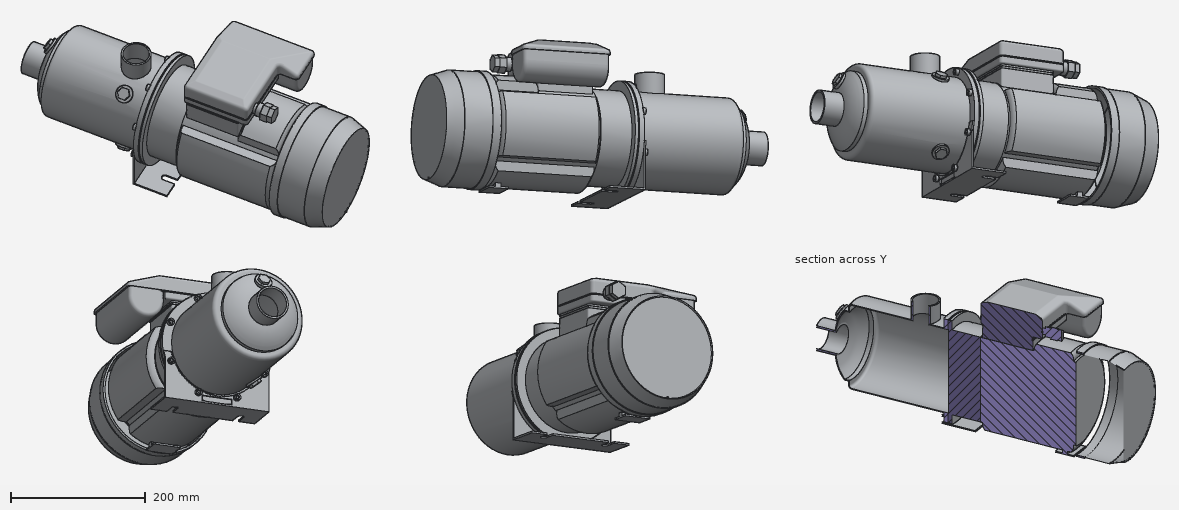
import cadquery as cq
import math

DOME_START = 31.5
DOME_END = 47.5
SHELL_START = 54.5
FLANGE_START = 217.0
FLANGE_SEAM = 225.0
FLANGE_END = 232.0
LANTERN_END = 280.5
PAD_START = 283.0
TOP_PAD_START = 371.0
PAD_END = 439.0
COVER_START = 443.5
COVER_RING_END = 456.5
COVER_TAPER_START = 500.0
COVER_END = 526.0
TOTAL_LENGTH = 527.0

CASING_WALL = 2.0
PIPE_DIAMETER = 50.5
PIPE_BORE = 45.0
DOME_RADIUS = 60.0
DOME_BULGE_X = 38.0
DOME_BULGE_RADIUS = 46.5
SHELL_RADIUS = 72.0
SHELL_ROUNDING = 6.5
FLANGE_RADIUS = 87.0
OUTLET_X = 178.0
OUTLET_DIAMETER = 44.5
OUTLET_BORE = 39.0
OUTLET_TOP = 100.5

PLUG_X = 181.5
PLUG_ANGLE = 52.0
PLUG_COLLAR_DIAMETER = 26.5
PLUG_COLLAR_HEIGHT = 2.5
PLUG_HEAD_DIAMETER = 19.5
PLUG_HEAD_HEIGHT = 7.0
PLUG_ROOT = 8.0
DOME_PLUG_X = 37.0
DOME_PLUG_Z = 45.0
DOME_PLUG_TILT = 28.0

BOLT_COUNT = 8
BOLT_CIRCLE_RADIUS = 80.5
BOLT_HEAD_DIAMETER = 10.0
BOLT_HEAD_HEIGHT = 5.5
BOLT_SHANK_DIAMETER = 7.0
SOCKET_SIZE = 6.0
SOCKET_DEPTH = 3.0

PLATE_THICKNESS = 2.5
FOOT_BOTTOM = -89.0
BRACKET_HALF_WIDTH = 83.5
BRACKET_TOP = -15.5
BRACKET_HOLE_RADIUS = 75.5
BRACKET_END = 271.0
NOTCH_WIDTH = 47.5
NOTCH_TOP = -77.5
SLOT_WIDTH = 10.0
SLOT_LENGTH = 23.5
SLOT_Y = 52.5

LANTERN_RADIUS = 72.0
SEAM_GAP = 1.5
SEAM_RADIUS = 86.0
CORE_RADIUS = 72.0
PAD_RADIUS = 84.0
PAD_HALF_WIDTH = 48.5
PAD_TAPER = 5.0
PAD_BULGE_X = 1.0
PAD_BULGE_RADIUS = 79.0
NECK_RADIUS = 71.0
REAR_FOOT_START = 408.0
REAR_FOOT_HALF_WIDTH = 21.0
REAR_STEM_START = 419.5
REAR_STEM_LENGTH = 9.0

COVER_RING_RADIUS = 88.5
COVER_RADIUS = 87.0
COVER_END_RADIUS = 78.0
COVER_WALL = 1.5
NIB_DIAMETER = 3.0

BOX_START = 280.0
BOX_END = 386.0
BOX_WING_END = 418.0
BOX_FRONT = -47.5
BOX_BACK = 115.5
WING_FRONT = 56.5
BOX_BOTTOM = 92.0
BOX_SEAM = 104.0
BOX_SEAM_GAP = 1.5
BOX_TOP = 132.0
ROOF_START = 293.0
ROOF_END = 373.0
ROOF_FRONT = -32.5
ROOF_BACK = 56.0
ROOF_LOW = 112.5
ROOF_RIM = 127.5
BOX_ROUNDING = 6.0
BOX_BOTTOM_ROUNDING = 2.5
TOWER_END = 369.5
TOWER_HALF_WIDTH = 44.5
TOWER_ROUNDING = 2.5
TOWER_GROOVE_DEPTH = 1.0
TOWER_GROOVE_BOTTOM = 86.5
TOWER_GROOVE_TOP = 89.5
LOBE_Y = 85.0
LOBE_Z = 89.0
LOBE_RADIUS = 28.0
LOBE_END = 416.5
LOBE_ROUNDING = 6.0

GLAND_Y = -20.5
GLAND_Z = 106.5
GLAND_ROOT_DIAMETER = 17.0
GLAND_ROOT_END = 390.5
GLAND_NECK_DIAMETER = 21.0
GLAND_NUT_START = 399.5
GLAND_NUT_DIAMETER = 28.0
GLAND_NUT_STEP = 11.0
GLAND_CAP_DIAMETER = 26.0
GLAND_END = 418.5


def rod(x_start, x_end, radius):
    """Cylinder along the pump axis."""
    return cq.Workplane("YZ").workplane(offset=x_start).circle(radius).extrude(x_end - x_start)


def block(x_range, y_range, z_range):
    """Box between pairs of limits."""
    size = [high - low for low, high in (x_range, y_range, z_range)]
    return cq.Workplane("XY").box(*size, centered=False).translate((x_range[0], y_range[0], z_range[0]))


def make_plug(base, outward, across):
    """Hexagon screw plug on a round collar, pointing outward; across sets a hexagon corner."""
    seat = cq.Plane(origin=base, xDir=across, normal=outward)
    length = PLUG_ROOT + PLUG_COLLAR_HEIGHT
    collar = cq.Workplane(seat).workplane(offset=-PLUG_ROOT).circle(PLUG_COLLAR_DIAMETER / 2).extrude(length)
    head = cq.Workplane(seat).polygon(6, PLUG_HEAD_DIAMETER).extrude(PLUG_HEAD_HEIGHT)
    return collar.union(head)


def bolt_centers():
    """Bolt positions (y, z), evenly spaced and half a step away from the Y axis."""
    angles = [2 * math.pi * (i + 0.5) / BOLT_COUNT for i in range(BOLT_COUNT)]
    return [(BOLT_CIRCLE_RADIUS * math.cos(a), BOLT_CIRCLE_RADIUS * math.sin(a)) for a in angles]


def make_bolt(y, z):
    """Socket-head bolt on the flange; the lower bolts clamp the bracket plate."""
    seat_x = FLANGE_START - (PLATE_THICKNESS if z < BRACKET_TOP else 0)
    head_x = seat_x - BOLT_HEAD_HEIGHT
    head = rod(head_x, seat_x, BOLT_HEAD_DIAMETER / 2)
    socket = cq.Workplane("YZ").workplane(offset=head_x).polygon(6, SOCKET_SIZE).extrude(SOCKET_DEPTH)
    shank = rod(seat_x, FLANGE_SEAM, BOLT_SHANK_DIAMETER / 2)
    return head.cut(socket).union(shank).translate((0, y, z))


def make_vessel(inset):
    """Domed barrel, shrunk by inset; the shrunk one is the inside of the casing."""
    dome_radius = DOME_RADIUS - inset
    shell_radius = SHELL_RADIUS - inset
    shell_start = SHELL_START + inset
    bulge = (DOME_BULGE_X + inset, DOME_BULGE_RADIUS - inset / 2)
    dome = (
        cq.Workplane("XZ")
        .moveTo(DOME_START + inset, 0)
        .lineTo(DOME_START + inset, PIPE_DIAMETER / 2)
        .threePointArc(bulge, (DOME_END + inset / 2, dome_radius))
        .lineTo(shell_start, dome_radius)
        .lineTo(shell_start, 0)
        .close()
        .revolve(360, (0, 0, 0), (1, 0, 0))
    )
    shell = rod(shell_start, FLANGE_SEAM, shell_radius).faces("<X").edges().fillet(SHELL_ROUNDING - inset)
    return dome.union(shell)


def make_casing():
    """Thin-walled barrel with pipe stubs, a flange, plugs and the flange bolts."""
    flange = rod(FLANGE_START, FLANGE_SEAM, FLANGE_RADIUS)
    suction = rod(0, DOME_START + CASING_WALL, PIPE_DIAMETER / 2)
    outlet = cq.Workplane("XY").center(OUTLET_X, 0).circle(OUTLET_DIAMETER / 2).extrude(OUTLET_TOP)
    body = make_vessel(0).union(flange).union(suction).union(outlet)

    angle = math.radians(PLUG_ANGLE)
    for side in (1, -1):
        outward = (0, -math.cos(angle), side * math.sin(angle))
        base = (PLUG_X, SHELL_RADIUS * outward[1], SHELL_RADIUS * outward[2])
        body = body.union(make_plug(base, outward, (1, 0, 0)))
    tilt = math.radians(DOME_PLUG_TILT)
    dome_base = (DOME_PLUG_X, 0, DOME_PLUG_Z)
    dome_outward = (-math.cos(tilt), 0, math.sin(tilt))
    body = body.union(make_plug(dome_base, dome_outward, (0, 1, 0)))

    outlet_bore = cq.Workplane("XY").center(OUTLET_X, 0).circle(OUTLET_BORE / 2).extrude(OUTLET_TOP)
    suction_bore = rod(0, DOME_START + CASING_WALL, PIPE_BORE / 2)
    body = body.cut(make_vessel(CASING_WALL)).cut(outlet_bore).cut(suction_bore)

    for y, z in bolt_centers():
        body = body.union(make_bolt(y, z))
    return body


def make_bracket():
    """Bent plate: an upright behind the lower bolts and a slotted sole under the flanges."""
    front = FLANGE_START - PLATE_THICKNESS
    width = (-BRACKET_HALF_WIDTH, BRACKET_HALF_WIDTH)
    below_top = block((front, FLANGE_START), (-FLANGE_RADIUS, FLANGE_RADIUS), (FOOT_BOTTOM, BRACKET_TOP))
    upright = rod(front, FLANGE_START, FLANGE_RADIUS).intersect(below_top)
    upright = upright.union(block((front, FLANGE_START), width, (FOOT_BOTTOM, BRACKET_TOP)))
    upright = upright.cut(rod(front, FLANGE_START, BRACKET_HOLE_RADIUS))
    sole = block((front, BRACKET_END), width, (FOOT_BOTTOM, FOOT_BOTTOM + PLATE_THICKNESS))
    slots = (
        cq.Workplane("XY")
        .workplane(offset=FOOT_BOTTOM)
        .pushPoints([(BRACKET_END, -SLOT_Y), (BRACKET_END, SLOT_Y)])
        .slot2D(2 * SLOT_LENGTH, SLOT_WIDTH)
        .extrude(PLATE_THICKNESS)
    )
    notch = block((front, FLANGE_START), (-NOTCH_WIDTH / 2, NOTCH_WIDTH / 2), (FOOT_BOTTOM, NOTCH_TOP))
    bracket = upright.cut(notch).union(sole).cut(slots)
    bracket = bracket.cut(rod(FLANGE_START, FLANGE_END, FLANGE_RADIUS))
    hole = rod(front, FLANGE_START, BOLT_SHANK_DIAMETER / 2)
    for y, z in bolt_centers():
        bracket = bracket.cut(hole.translate((0, y, z)))
    return bracket


def make_lantern():
    """Adapter between pump and motor; its flange leaves a thin seam at the rim."""
    seam = rod(FLANGE_SEAM, FLANGE_SEAM + SEAM_GAP, SEAM_RADIUS)
    flange = rod(FLANGE_SEAM + SEAM_GAP, FLANGE_END, FLANGE_RADIUS)
    return seam.union(flange).union(rod(FLANGE_END, LANTERN_END, LANTERN_RADIUS))


def make_pad(x_start, turn):
    """Curved pad with rounded ends and parallel sides, turned about the axis from the top."""
    drum = (
        cq.Workplane("XZ")
        .moveTo(x_start, 0)
        .lineTo(x_start, CORE_RADIUS)
        .threePointArc((x_start + PAD_BULGE_X, PAD_BULGE_RADIUS), (x_start + PAD_TAPER, PAD_RADIUS))
        .lineTo(PAD_END - PAD_TAPER, PAD_RADIUS)
        .threePointArc((PAD_END - PAD_BULGE_X, PAD_BULGE_RADIUS), (PAD_END, CORE_RADIUS))
        .lineTo(PAD_END, 0)
        .close()
        .revolve(360, (0, 0, 0), (1, 0, 0))
    )
    strip = block((x_start, PAD_END), (-PAD_HALF_WIDTH, PAD_HALF_WIDTH), (0, PAD_RADIUS))
    return drum.intersect(strip).rotate((0, 0, 0), (1, 0, 0), turn)


def make_motor():
    """Round core with four wide pads, a neck toward the fan cover and a small rear foot."""
    motor = rod(LANTERN_END, PAD_END, CORE_RADIUS)
    motor = motor.union(make_pad(TOP_PAD_START, 0))
    for turn in (90, 180, 270):
        motor = motor.union(make_pad(PAD_START, turn))
    motor = motor.union(rod(PAD_END, COVER_START, NECK_RADIUS))

    foot_width = (-REAR_FOOT_HALF_WIDTH, REAR_FOOT_HALF_WIDTH)
    foot_top = FOOT_BOTTOM + PLATE_THICKNESS
    foot = block((REAR_FOOT_START, PAD_END), foot_width, (FOOT_BOTTOM, foot_top))
    stem_x = (REAR_STEM_START, REAR_STEM_START + REAR_STEM_LENGTH)
    stem = block(stem_x, foot_width, (foot_top, -CORE_RADIUS))
    return motor.union(stem).union(foot)


def make_fan_cover():
    """Thin-walled cup, open toward the motor."""
    cover = (
        cq.Workplane("XZ")
        .polyline([
            (COVER_START, COVER_RADIUS - COVER_WALL),
            (COVER_START, COVER_RING_RADIUS),
            (COVER_RING_END, COVER_RING_RADIUS),
            (COVER_RING_END, COVER_RADIUS),
            (COVER_TAPER_START, COVER_RADIUS),
            (COVER_END, COVER_END_RADIUS),
            (COVER_END, 0),
            (COVER_END - COVER_WALL, 0),
            (COVER_END - COVER_WALL, COVER_END_RADIUS - COVER_WALL),
            (COVER_TAPER_START, COVER_RADIUS - COVER_WALL),
        ])
        .close()
        .revolve(360, (0, 0, 0), (1, 0, 0))
    )
    nib_z = NIB_DIAMETER / 2 - COVER_END_RADIUS
    nib = rod(COVER_END, TOTAL_LENGTH, NIB_DIAMETER / 2).translate((0, 0, nib_z))
    return cover.union(nib)


def box_slab(z_start, z_end):
    """L-shaped slice of the box: a main part and a wing reaching past it at the back."""
    outline = [
        (BOX_START, BOX_FRONT),
        (BOX_END, BOX_FRONT),
        (BOX_END, WING_FRONT),
        (BOX_WING_END, WING_FRONT),
        (BOX_WING_END, BOX_BACK),
        (BOX_START, BOX_BACK),
    ]
    return cq.Workplane("XY").workplane(offset=z_start).polyline(outline).close().extrude(z_end - z_start)


def make_roof():
    """Hipped prism that limits the lid from above."""
    by_x = [
        (BOX_START, 0),
        (BOX_START, ROOF_RIM),
        (ROOF_START, BOX_TOP),
        (ROOF_END, BOX_TOP),
        (BOX_WING_END, ROOF_LOW),
        (BOX_WING_END, 0),
    ]
    by_y = [
        (BOX_FRONT, 0),
        (BOX_FRONT, ROOF_RIM),
        (ROOF_FRONT, BOX_TOP),
        (ROOF_BACK, BOX_TOP),
        (BOX_BACK, ROOF_LOW),
        (BOX_BACK, 0),
    ]
    along_y = cq.Workplane("XZ", origin=(0, BOX_BACK, 0)).polyline(by_x).close().extrude(BOX_BACK - BOX_FRONT)
    along_x = cq.Workplane("YZ", origin=(BOX_START, 0, 0)).polyline(by_y).close()
    return along_y.intersect(along_x.extrude(BOX_WING_END - BOX_START))


def make_lid():
    lid = box_slab(BOX_SEAM + BOX_SEAM_GAP, BOX_TOP).intersect(make_roof())
    return lid.edges("not <Z").fillet(BOX_ROUNDING)


def make_capacitor_lobe():
    """Round-bottomed housing under the back of the lid."""
    start = BOX_START + BOX_SEAM_GAP
    return (
        cq.Workplane("YZ", origin=(start, 0, 0))
        .moveTo(LOBE_Y - LOBE_RADIUS, BOX_SEAM)
        .lineTo(LOBE_Y - LOBE_RADIUS, LOBE_Z)
        .threePointArc((LOBE_Y, LOBE_Z - LOBE_RADIUS), (LOBE_Y + LOBE_RADIUS, LOBE_Z))
        .lineTo(LOBE_Y + LOBE_RADIUS, BOX_SEAM)
        .close()
        .extrude(LOBE_END - start)
        .edges("(<X or >X) and (not >Z)")
        .fillet(LOBE_ROUNDING)
    )


def make_tower():
    """Pedestal that carries the box on the motor core, with a groove below the box."""
    center = ((PAD_START + TOWER_END) / 2, 0)
    length = TOWER_END - PAD_START
    width = 2 * TOWER_HALF_WIDTH
    tower = cq.Workplane("XY").center(*center).rect(length, width).extrude(BOX_BOTTOM)
    tower = tower.edges("|Z").fillet(TOWER_ROUNDING)
    groove = (
        cq.Workplane("XY", origin=(0, 0, TOWER_GROOVE_BOTTOM))
        .center(*center)
        .rect(length, width)
        .rect(length - 2 * TOWER_GROOVE_DEPTH, width - 2 * TOWER_GROOVE_DEPTH)
        .extrude(TOWER_GROOVE_TOP - TOWER_GROOVE_BOTTOM)
    )
    return tower.cut(groove).cut(rod(PAD_START, TOWER_END, CORE_RADIUS))


def make_terminal_box():
    """Lid, seam, base, capacitor lobe and tower joined into one body."""
    inner_x = (BOX_START + BOX_SEAM_GAP, BOX_END - BOX_SEAM_GAP)
    inner_y = (BOX_FRONT + BOX_SEAM_GAP, LOBE_Y)
    seam = block(inner_x, inner_y, (BOX_SEAM, BOX_SEAM + BOX_SEAM_GAP))
    lobe = make_capacitor_lobe()
    lobe_seam = lobe.faces(">Z").wires().toPending().workplane().extrude(BOX_SEAM_GAP, combine=False)
    base = block((BOX_START, BOX_END), (BOX_FRONT, LOBE_Y - LOBE_RADIUS), (BOX_BOTTOM, BOX_SEAM))
    base = base.edges("|Z and <Y").fillet(BOX_ROUNDING).faces("<Z").edges().fillet(BOX_BOTTOM_ROUNDING)
    seam = seam.edges("|Z and <Y").fillet(BOX_ROUNDING)
    return make_lid().union(seam).union(lobe_seam).union(base).union(lobe).union(make_tower())


def make_gland():
    """Cable gland on the side of the box: necked body, hexagon nut and hexagon cap."""
    nut_end = GLAND_NUT_START + GLAND_NUT_STEP
    root = rod(BOX_END, GLAND_ROOT_END, GLAND_ROOT_DIAMETER / 2)
    neck = rod(GLAND_ROOT_END, GLAND_NUT_START, GLAND_NECK_DIAMETER / 2).union(root)
    nut = cq.Workplane("YZ", origin=(GLAND_NUT_START, 0, 0)).transformed(rotate=(0, 0, 90))
    nut = nut.polygon(6, GLAND_NUT_DIAMETER).extrude(GLAND_NUT_STEP)
    cap = cq.Workplane("YZ", origin=(nut_end, 0, 0)).transformed(rotate=(0, 0, 90))
    cap = cap.polygon(6, GLAND_CAP_DIAMETER).extrude(GLAND_END - nut_end)
    return neck.union(nut).union(cap).translate((0, GLAND_Y, GLAND_Z))


casing = make_casing()
bracket = make_bracket()
lantern = make_lantern()
motor = make_motor()
fan_cover = make_fan_cover()
terminal_box = make_terminal_box()
gland = make_gland()

result = cq.Compound.makeCompound([
    casing.solids().val(),
    bracket.solids().val(),
    lantern.solids().val(),
    motor.solids().val(),
    fan_cover.solids().val(),
    terminal_box.solids().val(),
    gland.solids().val(),
])